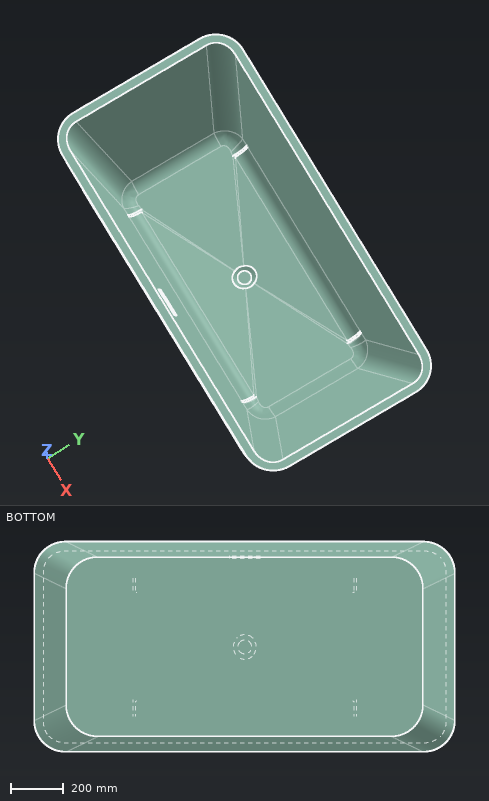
import cadquery as cq
import math

length = 1600
width = 800
height = 580.0

end_lean = 122.0
side_lean = 60.0
outer_corner_radius = 120.0

rim_width = 35.0
basin_length = length - 2 * rim_width
basin_width = width - 2 * rim_width
basin_corner_radius = outer_corner_radius - rim_width
basin_end_angle = 29.5
basin_side_angle = 14.4
cove_radius = 62.0

floor_low_z = 120.0
end_fall = 0.035
side_fall = 0.073

band_end_x = 424.0
band_end_y = 202.0
band_side_x = 416
band_side_y = 208

drain_top_diameter = 95.0
drain_top_radius = drain_top_diameter / 2
drain_bottom_diameter = 53.0
drain_bottom_radius = drain_bottom_diameter / 2
drain_angle = 28

overflow_length = 115.0
overflow_height = 38.0
overflow_thickness = 2.0
overflow_slot_length = 77.0
overflow_slot_height = 20.0
overflow_center_z = 490.0


def tan(degrees):
    return math.tan(math.radians(degrees))


def outer_block():
    """Solid tub body with rounded corners and leaning walls."""
    top = cq.Sketch().rect(length, width).vertices().fillet(outer_corner_radius)
    bottom = (
        cq.Sketch()
        .rect(length - 2 * end_lean, width - 2 * side_lean)
        .vertices()
        .fillet(outer_corner_radius)
    )
    return (
        cq.Workplane("XY")
        .placeSketch(bottom, top.moved(cq.Location(cq.Vector(0, 0, height))))
        .loft(ruled=True)
    )


def leaning_walls(plane, top_span, angle):
    """Long prism between two opposite basin walls, reaching down to the tub's underside."""
    top_half = top_span / 2
    bottom_half = top_half - height * tan(angle)
    return (
        cq.Workplane(plane)
        .polyline([(-top_half, height), (top_half, height), (bottom_half, 0), (-bottom_half, 0)])
        .close()
        .extrude(length, both=True)
    )


def basin_over_floor(x_fall, y_fall):
    """Basin over one flat floor that rises by the given rates along X and Y."""
    end_walls = leaning_walls("XZ", basin_length, basin_end_angle)
    side_walls = leaning_walls("YZ", basin_width, basin_side_angle)
    walls = end_walls.intersect(side_walls).edges("not(#Z or |X or |Y)").fillet(basin_corner_radius)
    floor = cq.Plane(origin=(0, 0, floor_low_z), xDir=(1, 0, x_fall), normal=(-x_fall, -y_fall, 1))
    above_floor = cq.Workplane(floor).rect(2 * length, 2 * length).extrude(length)
    return walls.intersect(above_floor).faces("<Z").edges().fillet(cove_radius)


def sector(*corners):
    """Upright prism from the basin's centre line out to the given plan corners."""
    return cq.Workplane("XY").polyline([(0, 0), *corners]).close().extrude(height)


def basin():
    """Room inside the tub, made of one quarter and its mirror images."""
    end_panel = basin_over_floor(end_fall, 0).intersect(
        sector((length, 0), (length, width), (band_end_x, width), (band_end_x, band_end_y)))
    side_panel = basin_over_floor(0, side_fall).intersect(
        sector((band_side_x, band_side_y), (band_side_x, width), (0, width)))

    end_ratio = band_end_y / band_end_x
    side_ratio = band_side_y / band_side_x
    band_y_fall = (side_fall * side_ratio - end_fall) / (side_ratio - end_ratio)
    band_x_fall = end_fall - band_y_fall * end_ratio
    band = basin_over_floor(band_x_fall, band_y_fall).intersect(
        sector((band_end_x, band_end_y), (band_end_x, width),
               (band_side_x, width), (band_side_x, band_side_y)))

    quarter = end_panel.union(band).union(side_panel)
    half = quarter.union(quarter.mirror("YZ"))
    return half.union(half.mirror("XZ")).clean()


def drain():
    """Conical recess around the low point of the floor."""
    top_z = floor_low_z + side_fall * drain_top_radius
    bottom_z = top_z - (drain_top_radius - drain_bottom_radius) * tan(drain_angle)
    overshoot = 16
    return (
        cq.Workplane("XZ")
        .moveTo(0, bottom_z)
        .lineTo(drain_bottom_radius, bottom_z)
        .lineTo(drain_top_radius + overshoot / tan(drain_angle), top_z + overshoot)
        .lineTo(0, top_z + overshoot)
        .close()
        .revolve(360, (0, 0), (0, 1))
    )


def overflow_block(block_length, block_height, depth):
    """Rectangular block centred on the overflow, reaching from the -Y basin wall into the room."""
    wall_y = (height - overflow_center_z) * tan(basin_side_angle) - basin_width / 2
    wall = cq.Plane(
        origin=(0, wall_y, overflow_center_z),
        xDir=(1, 0, 0),
        normal=(0, 1, tan(basin_side_angle)),
    )
    return cq.Workplane(wall).rect(block_length, block_height).extrude(depth)


tub = outer_block().cut(basin()).cut(drain())
plate = overflow_block(overflow_length, overflow_height, overflow_thickness)
slot = overflow_block(overflow_slot_length, overflow_slot_height, overflow_thickness)
result = tub.union(plate.cut(slot))